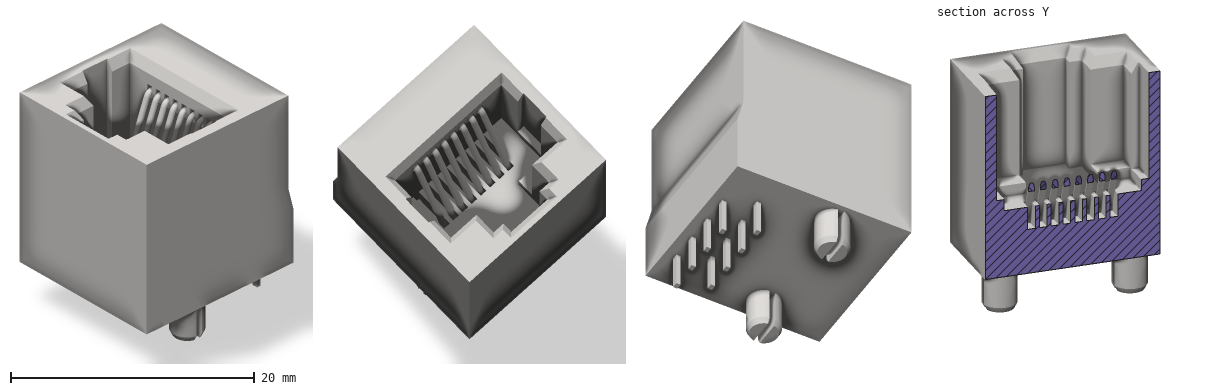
import cadquery as cq
import math

WIDTH = 15.37
DEPTH = 16.42
HEIGHT = 16.42
OVERALL_HEIGHT = 19.88

REAR_STEP = 0.55
SLOPE_BOTTOM_Z = 5.27
SLOPE_TOP_Z = 7.44
UPPER_REAR_Y = DEPTH - REAR_STEP

PLUG_HALF_WIDTH = 5.98
PLUG_REAR_Y = 10.77
SHOULDER_Y = 4.04
LATCH_HALF_WIDTH = 3.12
LATCH_STEP_Y = 1.97
LATCH_TIP_HALF_WIDTH = 2.03
LATCH_TIP_Y = 1.01
PLUG_FLOOR_Z = 5.96
RIM_INSET = 0.55
RIM_DEPTH = 0.93

STOP_REAR_Y = 5.63
STOP_TOP_Z = 6.95

GROOVE_HALF_WIDTH = 6.64
GROOVE_FRONT_Y = 6.02
GROOVE_REAR_Y = 8.79
GROOVE_FLOOR_Z = STOP_TOP_Z

PEG_RADIUS = 1.5
PEG_X = 5.7
PEG_Y = 6.36
PEG_LENGTH = OVERALL_HEIGHT - HEIGHT
PEG_SLOT_WIDTH = 0.58
PEG_TIP_INSET = 0.25
PEG_TIP_HEIGHT = 0.5

CARRIER_TOP_DROP = 2.0
CARRIER_TOP_Z = HEIGHT - CARRIER_TOP_DROP
REAR_WALL_THICKNESS = 0.24
CARRIER_REAR_Y = UPPER_REAR_Y - REAR_WALL_THICKNESS

SLOT_WIDTH = 0.64
WALL_SLOT_DEPTH = 1.27
WALL_SLOT_REAR_Y = PLUG_REAR_Y + WALL_SLOT_DEPTH
WALL_SLOT_BOTTOM_Z = 13.25
FLOOR_SLOT_FRONT_Y = 7.05
FLOOR_SLOT_DEPTH = 1.99
SLOT_CLEARANCE = 0.04

CONTACT_COUNT = 8
BLADE_WIDTH = SLOT_WIDTH - 2 * SLOT_CLEARANCE
BLADE_THICKNESS = 0.28
BLADE_PITCH = 1.03
BLADE_LEAN = math.radians(21.0)
BLADE_TIP_Y = FLOOR_SLOT_FRONT_Y + SLOT_CLEARANCE
BLADE_ROUNDING = 0.22
BEND_RADIUS = 0.91
BEND_TOP_Z = 14.05
PIN_PITCH = 1.27
PIN_WIDTH = 0.55
PIN_THICKNESS = 0.4
PIN_LENGTH = 3.18
PIN_FRONT_ROW_Y = 12.75
PIN_ROW_SPACING = 2.55

LINK_BOTTOM_Z = 3.98
LINK_TOP_Z = LINK_BOTTOM_Z + BLADE_THICKNESS


def block(x_range, y_range, z_range):
    """Box between the given limits."""
    (x0, x1), (y0, y1), (z0, z1) = x_range, y_range, z_range
    return cq.Workplane("XY", origin=(x0, y0, z0)).box(x1 - x0, y1 - y0, z1 - z0, centered=False)


def plug_outline(growth):
    """Outline points of the plug opening, grown outwards by the given distance."""
    right_half = [
        (LATCH_TIP_HALF_WIDTH + growth, LATCH_TIP_Y - growth),
        (LATCH_TIP_HALF_WIDTH + growth, LATCH_STEP_Y - growth),
        (LATCH_HALF_WIDTH + growth, LATCH_STEP_Y - growth),
        (LATCH_HALF_WIDTH + growth, SHOULDER_Y - growth),
        (PLUG_HALF_WIDTH + growth, SHOULDER_Y - growth),
        (PLUG_HALF_WIDTH + growth, PLUG_REAR_Y + growth),
    ]
    return right_half + [(-x, y) for x, y in reversed(right_half)]


def make_shell():
    side_profile = [
        (0, 0),
        (DEPTH, 0),
        (DEPTH, SLOPE_BOTTOM_Z),
        (UPPER_REAR_Y, SLOPE_TOP_Z),
        (UPPER_REAR_Y, HEIGHT),
        (0, HEIGHT),
    ]
    return cq.Workplane("YZ").polyline(side_profile).close().extrude(WIDTH / 2, both=True)


def make_plug_opening():
    """Space cut out for the plug: the shaft, its bevelled rim and the side grooves, less the stops."""
    shaft = (
        cq.Workplane("XY", origin=(0, 0, PLUG_FLOOR_Z))
        .polyline(plug_outline(0)).close()
        .extrude(HEIGHT - PLUG_FLOOR_Z)
    )
    rim = (
        cq.Workplane("XY", origin=(0, 0, HEIGHT - RIM_DEPTH))
        .polyline(plug_outline(0)).close()
        .workplane(offset=RIM_DEPTH)
        .polyline(plug_outline(RIM_INSET)).close()
        .loft(ruled=True)
    )
    grooves = block(
        (-GROOVE_HALF_WIDTH, GROOVE_HALF_WIDTH), (GROOVE_FRONT_Y, GROOVE_REAR_Y), (GROOVE_FLOOR_Z, HEIGHT)
    )
    right_stop = block(
        (LATCH_HALF_WIDTH, PLUG_HALF_WIDTH), (SHOULDER_Y, STOP_REAR_Y), (PLUG_FLOOR_Z, STOP_TOP_Z)
    )
    return shaft.union(rim).union(grooves).cut(right_stop).cut(right_stop.mirror("YZ"))


def make_peg(x):
    """Peg with a tapered tip, split along X."""
    half_profile = [
        (0, 0),
        (PEG_RADIUS, 0),
        (PEG_RADIUS, PEG_TIP_HEIGHT - PEG_LENGTH),
        (PEG_RADIUS - PEG_TIP_INSET, -PEG_LENGTH),
        (0, -PEG_LENGTH),
    ]
    peg = cq.Workplane("XZ").polyline(half_profile).close().revolve(360, (0, 0, 0), (0, 1, 0))
    split = block(
        (-PEG_RADIUS, PEG_RADIUS), (-PEG_SLOT_WIDTH / 2, PEG_SLOT_WIDTH / 2), (-PEG_LENGTH, 0)
    )
    return peg.cut(split).translate((x, PEG_Y, 0))


def carrier_block():
    return block((-PLUG_HALF_WIDTH, PLUG_HALF_WIDTH), (PLUG_REAR_Y, CARRIER_REAR_Y), (0, CARRIER_TOP_Z))


def place_along_row(index, pitch):
    """X position of a contact in a row centred on X = 0."""
    return (index - (CONTACT_COUNT - 1) / 2) * pitch


def make_slot(x, y_range, z_range):
    return block((x - SLOT_WIDTH / 2, x + SLOT_WIDTH / 2), y_range, z_range)


def make_floor_slot(x):
    return make_slot(x, (FLOOR_SLOT_FRONT_Y, PLUG_REAR_Y), (PLUG_FLOOR_Z - FLOOR_SLOT_DEPTH, PLUG_FLOOR_Z))


def make_wall_slot(x):
    return make_slot(x, (PLUG_REAR_Y, WALL_SLOT_REAR_Y), (WALL_SLOT_BOTTOM_Z, CARRIER_TOP_Z))


def make_housing():
    housing = make_shell().cut(make_plug_opening()).cut(carrier_block())
    for x in (-PEG_X, PEG_X):
        housing = housing.union(make_peg(x))
    for index in range(CONTACT_COUNT):
        housing = housing.cut(make_floor_slot(place_along_row(index, BLADE_PITCH)))
    return housing


def make_blade(x):
    """Strip that rises in its slot, bends over the top and leans down into the opening."""
    inner_radius = BEND_RADIUS - BLADE_THICKNESS
    bend_y = WALL_SLOT_REAR_Y - BEND_RADIUS
    bend_z = BEND_TOP_Z - BEND_RADIUS

    def on_bend(radius, angle):
        return (bend_y + radius * math.cos(angle), bend_z + radius * math.sin(angle))

    def at_tip(start):
        return (BLADE_TIP_Y, start[1] - (start[0] - BLADE_TIP_Y) / math.tan(BLADE_LEAN))

    bend_end = math.pi - BLADE_LEAN
    outer_end = on_bend(BEND_RADIUS, bend_end)
    inner_end = on_bend(inner_radius, bend_end)
    blade = (
        cq.Workplane("YZ")
        .moveTo(WALL_SLOT_REAR_Y, LINK_BOTTOM_Z)
        .lineTo(WALL_SLOT_REAR_Y, bend_z)
        .threePointArc(on_bend(BEND_RADIUS, bend_end / 2), outer_end)
        .lineTo(*at_tip(outer_end))
        .lineTo(*at_tip(inner_end))
        .lineTo(*inner_end)
        .threePointArc(on_bend(inner_radius, bend_end / 2), on_bend(inner_radius, 0))
        .lineTo(WALL_SLOT_REAR_Y - BLADE_THICKNESS, LINK_BOTTOM_Z)
        .close()
        .extrude(BLADE_WIDTH / 2, both=True)
    )
    outer_bend_edges = cq.selectors.RadiusNthSelector(-1)
    blade = blade.edges(outer_bend_edges).fillet(BLADE_ROUNDING)
    return blade.translate((x, 0, 0))


def make_contact(index):
    blade_x = place_along_row(index, BLADE_PITCH)
    pin_x = place_along_row(index, PIN_PITCH)
    pin_y = PIN_FRONT_ROW_Y + PIN_ROW_SPACING * (index % 2)
    half_width = PIN_WIDTH / 2
    pin_rear_y = pin_y + PIN_THICKNESS / 2
    link_front_y = WALL_SLOT_REAR_Y - BLADE_THICKNESS
    pin = block(
        (pin_x - half_width, pin_x + half_width),
        (pin_rear_y - PIN_THICKNESS, pin_rear_y),
        (-PIN_LENGTH, LINK_TOP_Z),
    )
    link_outline = [
        (blade_x - half_width, link_front_y),
        (blade_x + half_width, link_front_y),
        (pin_x + half_width, pin_rear_y),
        (pin_x - half_width, pin_rear_y),
    ]
    link = (
        cq.Workplane("XY", origin=(0, 0, LINK_BOTTOM_Z))
        .polyline(link_outline).close()
        .extrude(LINK_TOP_Z - LINK_BOTTOM_Z)
    )
    return make_blade(blade_x).union(link).union(pin)


def make_carrier(contacts):
    """Carrier with one open slot per contact and a matching passage for each link and pin."""
    carrier = carrier_block()
    for index, contact in enumerate(contacts):
        slot = make_wall_slot(place_along_row(index, BLADE_PITCH))
        carrier = carrier.cut(slot).cut(contact)
    return carrier


housing = make_housing()
contacts = [make_contact(index) for index in range(CONTACT_COUNT)]
carrier = make_carrier(contacts)

result = cq.Compound.makeCompound([housing.val(), carrier.val(), *[contact.val() for contact in contacts]])